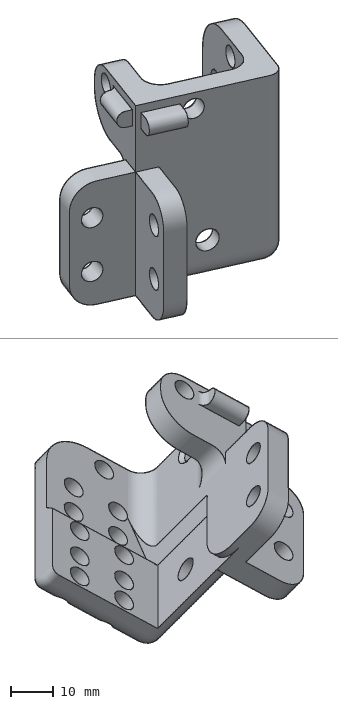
import cadquery as cq

LENGTH_X = 52.0
LENGTH_Y = 55
HEIGHT = 53.0
WALL = 6.0

WEB_OUTER = 35.0
WEB_INNER = WEB_OUTER - WALL
BACK_INNER = LENGTH_Y - WALL
INNER_RADIUS = 5.0
OUTER_RADIUS = 3.5

BACK_TOP_RADIUS = 12.0
BACK_BASE_RADIUS = 5.0
BACK_EDGE_RADIUS = 2.0
PAD_HEIGHT = 24.55
PAD_THICKNESS = 2.4

FRONT = 17.0
ARM_BACK = FRONT + WALL
ARM_LEFT = 9.95
ARM_BASE = 34.5
ARM_TOP_RADIUS = 7.0
ARM_BASE_RADIUS = 9.6
ARM_ROOT_RADIUS = 3.9
FLANGE_RADIUS = 7.0

RECESS_FRONT = 24.4
RECESS_RADIUS = 10.0
RECESS_DEPTH = 1.9
RECESS_SLOPE = 2
RECESS_WALL = WEB_INNER + RECESS_DEPTH
RECESS_CEILING = PAD_HEIGHT - PAD_THICKNESS

HOLE = 5.5
WEB_HOLE = 6.0
COUNTERSINK = 7.6
COUNTERSINK_DEPTH = (COUNTERSINK - HOLE) / 2
UPPER_HOLE_Z = 48.55
UPPER_HOLE_X = 16.95
UPPER_HOLE_Y = 31.9
WEB_HOLE_Y = 35.5
LOWER_HOLE_Z = 11.05
BACK_COLUMNS = (8.0, 21.0)
BACK_ROWS = (3.5, 10.5, 19.3, 28.1, 36.65)
FLANGE_HOLE_X = 46.1
FLAP_HOLE_Y = 5.85
FLAP_HOLE_Z = 9.45
HOLE_PITCH = 15.0

KEY_HEIGHT = 4.5
KEY_LENGTH = 10.0
KEY_Z = 48.5
KEY_RADIUS = KEY_HEIGHT / 2
FRONT_KEY_STEM = 1.75
FRONT_KEY_RIGHT = 33
SIDE_KEY_STEM = 2.8
SIDE_KEY_FRONT = 18.35


def box(x0, x1, y0, y1, z0, z1):
    """Axis-aligned block between two opposite corners."""
    return cq.Workplane("XY").box(x1 - x0, y1 - y0, z1 - z0, centered=False).translate((x0, y0, z0))


def along_x(sketch_origin_x):
    """Sketch plane with local axes Y and Z, extruding toward +X."""
    return cq.Workplane("YZ", origin=(sketch_origin_x, 0, 0))


def along_y(sketch_origin_y):
    """Sketch plane with local axes X and Z, extruding toward -Y."""
    return cq.Workplane("XZ", origin=(0, sketch_origin_y, 0))


def make_wall():
    """Back plate and web in one upright, with the arm's full-height root."""
    wall = box(0, WEB_OUTER, FRONT, LENGTH_Y, 0, HEIGHT)
    opening = box(-WALL, WEB_INNER, ARM_BACK, BACK_INNER, 0, HEIGHT)
    opening = opening.edges("|Z and >X").fillet(INNER_RADIUS)
    return wall.cut(opening)


def arm_outline():
    """Front arm with a rounded free end and a concave root under it."""
    return (
        along_y(LENGTH_Y)
        .moveTo(WEB_INNER, HEIGHT)
        .lineTo(ARM_LEFT + ARM_TOP_RADIUS, HEIGHT)
        .radiusArc((ARM_LEFT, HEIGHT - ARM_TOP_RADIUS), -ARM_TOP_RADIUS)
        .lineTo(ARM_LEFT, ARM_BASE + ARM_BASE_RADIUS)
        .radiusArc((ARM_LEFT + ARM_BASE_RADIUS, ARM_BASE), -ARM_BASE_RADIUS)
        .lineTo(WEB_INNER - ARM_ROOT_RADIUS, ARM_BASE)
        .radiusArc((WEB_INNER, ARM_BASE - ARM_ROOT_RADIUS), ARM_ROOT_RADIUS)
        .close()
        .extrude(LENGTH_Y)
    )


def trim_arm(wall):
    """Shape the region in front of the opening to the arm outline."""
    middle = (ARM_BACK + BACK_INNER) / 2
    front_region = box(0, WEB_INNER, FRONT, middle, 0, HEIGHT)
    return wall.cut(front_region.cut(arm_outline()))


def make_recess():
    """Relief in the web: sloping ceiling, and a front end that sweeps forward at the base."""
    start = WEB_INNER - INNER_RADIUS
    start_z = RECESS_CEILING + RECESS_SLOPE * (RECESS_WALL - start)
    section = (
        along_y(BACK_INNER)
        .polyline([(start, 0), (start, start_z), (RECESS_WALL, RECESS_CEILING), (RECESS_WALL, 0)])
        .close()
        .extrude(BACK_INNER)
    )
    outline = (
        along_x(0)
        .moveTo(BACK_INNER, 0)
        .lineTo(BACK_INNER, HEIGHT)
        .lineTo(RECESS_FRONT, HEIGHT)
        .lineTo(RECESS_FRONT, RECESS_RADIUS)
        .radiusArc((RECESS_FRONT - RECESS_RADIUS, 0), RECESS_RADIUS)
        .close()
        .extrude(WEB_OUTER)
    )
    return section.intersect(outline)


def make_pad():
    """Thicker lower part of the back plate, with a bevelled top."""
    pad_face = BACK_INNER - PAD_THICKNESS
    return (
        along_x(0)
        .polyline([(BACK_INNER, 0), (BACK_INNER, PAD_HEIGHT), (pad_face, RECESS_CEILING), (pad_face, 0)])
        .close()
        .extrude(RECESS_WALL)
    )


def round_back(body):
    """Round the outer edges of the back plate, then its large upper corner."""
    body = body.edges("|Z and >X and >Y").fillet(OUTER_RADIUS)
    body = body.edges("|X and >Y and <Z").fillet(BACK_BASE_RADIUS)
    body = body.edges("|Z and <X and >Y").fillet(BACK_EDGE_RADIUS)
    corner = box(0, BACK_TOP_RADIUS, BACK_INNER, LENGTH_Y, HEIGHT - BACK_TOP_RADIUS, HEIGHT)
    rounding = along_y(LENGTH_Y).center(BACK_TOP_RADIUS, HEIGHT - BACK_TOP_RADIUS)
    return body.cut(corner.cut(rounding.circle(BACK_TOP_RADIUS).extrude(WALL)))


def make_flange():
    """Mounting plate reaching out to +X."""
    plate = box(WEB_OUTER, LENGTH_X, FRONT, ARM_BACK, 0, ARM_BASE)
    return plate.edges("|Y and >X").fillet(FLANGE_RADIUS)


def make_flap():
    """Mounting plate continuing the web toward -Y."""
    plate = box(WEB_INNER, WEB_OUTER, 0, ARM_BACK, 0, ARM_BASE)
    return plate.edges("|X and <Y").fillet(FLANGE_RADIUS)


def make_front_key():
    """Key on the arm's front face, with a concave fillet at its left end."""
    left = FRONT_KEY_RIGHT - KEY_LENGTH
    stem_end = FRONT - FRONT_KEY_STEM
    key = (
        along_x(left)
        .moveTo(FRONT, KEY_Z - KEY_RADIUS)
        .lineTo(stem_end, KEY_Z - KEY_RADIUS)
        .threePointArc((stem_end - KEY_RADIUS, KEY_Z), (stem_end, KEY_Z + KEY_RADIUS))
        .lineTo(FRONT, KEY_Z + KEY_RADIUS)
        .close()
        .extrude(KEY_LENGTH)
    )
    root = (
        cq.Workplane("XY", origin=(0, 0, KEY_Z - KEY_RADIUS))
        .moveTo(left, FRONT)
        .lineTo(left - FRONT_KEY_STEM, FRONT)
        .radiusArc((left, stem_end), FRONT_KEY_STEM)
        .close()
        .extrude(KEY_HEIGHT)
    )
    return key.union(root)


def make_side_key():
    """Key on the outer face of the web."""
    stem_end = WEB_OUTER + SIDE_KEY_STEM
    back = SIDE_KEY_FRONT + KEY_LENGTH
    return (
        along_y(back)
        .moveTo(WEB_OUTER, KEY_Z - KEY_RADIUS)
        .lineTo(stem_end, KEY_Z - KEY_RADIUS)
        .threePointArc((stem_end + KEY_RADIUS, KEY_Z), (stem_end, KEY_Z + KEY_RADIUS))
        .lineTo(WEB_OUTER, KEY_Z + KEY_RADIUS)
        .close()
        .extrude(KEY_LENGTH)
    )


def drill_x(body, points, diameter):
    """Holes through the web at (Y, Z) points."""
    return body.cut(along_x(0).pushPoints(points).circle(diameter / 2).extrude(WEB_OUTER))


def drill_y(body, points, diameter):
    """Holes through every plate in line with the (X, Z) points."""
    return body.cut(along_y(LENGTH_Y).pushPoints(points).circle(diameter / 2).extrude(LENGTH_Y))


def drill_all(body):
    back_points = [(x, z) for x in BACK_COLUMNS for z in BACK_ROWS]
    back_holes = along_y(LENGTH_Y).pushPoints(back_points).circle(HOLE / 2).extrude(WALL + PAD_THICKNESS)
    body = body.cut(back_holes)
    flange_points = [(FLANGE_HOLE_X, LOWER_HOLE_Z + i * HOLE_PITCH) for i in range(2)]
    body = drill_y(body, flange_points + [(UPPER_HOLE_X, UPPER_HOLE_Z)], HOLE)
    flap_points = [(FLAP_HOLE_Y, FLAP_HOLE_Z + i * HOLE_PITCH) for i in range(2)]
    body = drill_x(body, flap_points + [(UPPER_HOLE_Y, UPPER_HOLE_Z)], HOLE)
    body = drill_x(body, [(WEB_HOLE_Y, LOWER_HOLE_Z)], WEB_HOLE)
    countersink = cq.Solid.makeCone(
        COUNTERSINK / 2,
        HOLE / 2,
        COUNTERSINK_DEPTH,
        pnt=cq.Vector(WEB_INNER, UPPER_HOLE_Y, UPPER_HOLE_Z),
        dir=cq.Vector(1, 0, 0),
    )
    return body.cut(cq.Workplane(countersink))


pad = make_pad()
bracket = round_back(trim_arm(make_wall()).union(pad))
bracket = bracket.union(make_flap()).cut(make_recess().cut(pad))
bracket = bracket.union(make_flange())
bracket = bracket.union(make_front_key()).union(make_side_key())
result = drill_all(bracket)